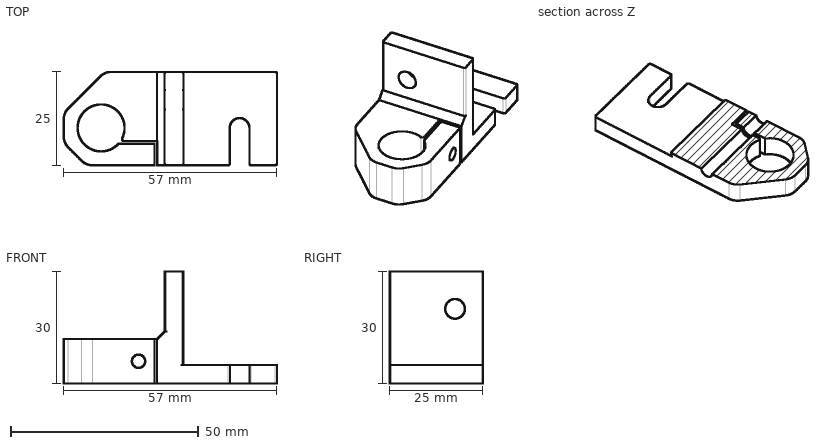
import cadquery as cq
import math

LENGTH = 57.0
WIDTH = 25.0
HEIGHT = 30.0

BLOCK_LENGTH = 25.0
BLOCK_HEIGHT = 12.0
PLATE_THICKNESS = 5.0
FOOT_THICKNESS = 5.0
GUSSET_SIZE = 2.0
PLATE_FRONT_X = BLOCK_LENGTH + GUSSET_SIZE
PLATE_BACK_X = PLATE_FRONT_X + PLATE_THICKNESS

LARGE_CORNER_CUT = 11.0
SMALL_CORNER_CUT = 6.0
NOSE_RADIUS = 4.0

BORE_DIAMETER = 12.5
BORE_X = 10.0
BORE_Y = 10.0
SLIT_WIDTH = 0.7
SLIT_LOWER_Y = 5.8
SLIT_UPPER_Y = SLIT_LOWER_Y + SLIT_WIDTH
CLAMP_SCREW_DIAMETER = 3.5
CLAMP_SCREW_X = 20.0
CLAMP_SCREW_Z = BLOCK_HEIGHT / 2

MOUNT_DIAMETER = 5.2
PLATE_HOLE_Y = 17.5
PLATE_HOLE_Z = 20.0
SLOT_X = 47.0
SLOT_CENTER_Y = 10.0

EDGE_RADIUS = 0.5


def box(x0, x1, y0, y1, z0, z1):
    """Axis-aligned box between two opposite corners."""
    return cq.Workplane("XY").box(x1 - x0, y1 - y0, z1 - z0, centered=False).translate((x0, y0, z0))


def make_clamp_block():
    """Block with two 45-degree nose corners, all nose edges rounded."""
    block = (
        cq.Workplane("XY")
        .moveTo(BLOCK_LENGTH, 0)
        .lineTo(BLOCK_LENGTH, WIDTH)
        .lineTo(LARGE_CORNER_CUT, WIDTH)
        .lineTo(0, WIDTH - LARGE_CORNER_CUT)
        .lineTo(0, SMALL_CORNER_CUT)
        .lineTo(SMALL_CORNER_CUT, 0)
        .close()
        .extrude(BLOCK_HEIGHT)
    )
    return block.edges("|Z and (not >X)").fillet(NOSE_RADIUS)


def make_gusset():
    """Web joining the block to the plate, with the sloped gusset leading up to its front face."""
    return (
        cq.Workplane("XZ")
        .moveTo(BLOCK_LENGTH, 0)
        .lineTo(BLOCK_LENGTH, BLOCK_HEIGHT)
        .lineTo(PLATE_FRONT_X, BLOCK_HEIGHT + GUSSET_SIZE)
        .lineTo(PLATE_FRONT_X, 0)
        .close()
        .extrude(-WIDTH)
    )


def make_plate():
    """Upright plate: rounded edges on the front above the gusset, on the back above the foot."""
    front_zone_z = BLOCK_HEIGHT + GUSSET_SIZE
    middle_x = (PLATE_FRONT_X + PLATE_BACK_X) / 2
    front_upper = box(PLATE_FRONT_X, middle_x, 0, WIDTH, front_zone_z, HEIGHT)
    front_upper = front_upper.edges("|Z and <X").fillet(EDGE_RADIUS)
    front_lower = box(PLATE_FRONT_X, middle_x, 0, WIDTH, 0, front_zone_z)
    back = box(middle_x, PLATE_BACK_X, 0, WIDTH, FOOT_THICKNESS, HEIGHT)
    back = back.edges("|Z and >X").fillet(EDGE_RADIUS)
    return front_lower.union(front_upper).union(back)


def make_foot():
    """Flat foot with an open slot; its end corners and the slot mouth are rounded."""
    foot = box(PLATE_FRONT_X, LENGTH, 0, WIDTH, 0, FOOT_THICKNESS)
    half_slot = MOUNT_DIAMETER / 2
    slot = (
        cq.Workplane("XY")
        .moveTo(SLOT_X - half_slot, 0)
        .lineTo(SLOT_X - half_slot, SLOT_CENTER_Y)
        .threePointArc((SLOT_X, SLOT_CENTER_Y + half_slot), (SLOT_X + half_slot, SLOT_CENTER_Y))
        .lineTo(SLOT_X + half_slot, 0)
        .close()
        .extrude(FOOT_THICKNESS)
    )
    foot = foot.cut(slot)
    foot = foot.edges("|Z and >X").fillet(EDGE_RADIUS)
    slot_mouth = cq.selectors.BoxSelector(
        (SLOT_X - MOUNT_DIAMETER, -EDGE_RADIUS, 0),
        (SLOT_X + MOUNT_DIAMETER, EDGE_RADIUS, FOOT_THICKNESS),
    )
    return foot.edges("|Z").edges(slot_mouth).fillet(EDGE_RADIUS)


def make_bore():
    return cq.Workplane("XY").center(BORE_X, BORE_Y).circle(BORE_DIAMETER / 2).extrude(BLOCK_HEIGHT)


def make_slit():
    """L-shaped slit from the bore along X, then out through the -Y side."""
    along = box(BORE_X, BLOCK_LENGTH, SLIT_LOWER_Y, SLIT_UPPER_Y, 0, BLOCK_HEIGHT)
    outward = box(BLOCK_LENGTH - SLIT_WIDTH, BLOCK_LENGTH, 0, SLIT_UPPER_Y, 0, BLOCK_HEIGHT)
    return along.union(outward)


def make_clamp_screw_hole():
    return (
        cq.Workplane("XZ")
        .center(CLAMP_SCREW_X, CLAMP_SCREW_Z)
        .circle(CLAMP_SCREW_DIAMETER / 2)
        .extrude(-WIDTH)
    )


def make_plate_hole():
    return (
        cq.Workplane("YZ", origin=(PLATE_FRONT_X, 0, 0))
        .center(PLATE_HOLE_Y, PLATE_HOLE_Z)
        .circle(MOUNT_DIAMETER / 2)
        .extrude(PLATE_THICKNESS)
    )


def round_slit_mouth(part):
    """Round the sharp edge where the bore meets the inner wall of the slit."""
    bore_radius = BORE_DIAMETER / 2
    mouth_x = BORE_X + math.sqrt(bore_radius**2 - (BORE_Y - SLIT_UPPER_Y) ** 2)
    mouth_edge = cq.selectors.NearestToPointSelector((mouth_x, SLIT_UPPER_Y, BLOCK_HEIGHT / 2))
    return part.edges("|Z").edges(mouth_edge).fillet(EDGE_RADIUS)


body = make_clamp_block().union(make_gusset()).union(make_plate()).union(make_foot()).clean()
clamp = round_slit_mouth(body.cut(make_bore()).cut(make_slit()))
result = clamp.cut(make_clamp_screw_hole()).cut(make_plate_hole())